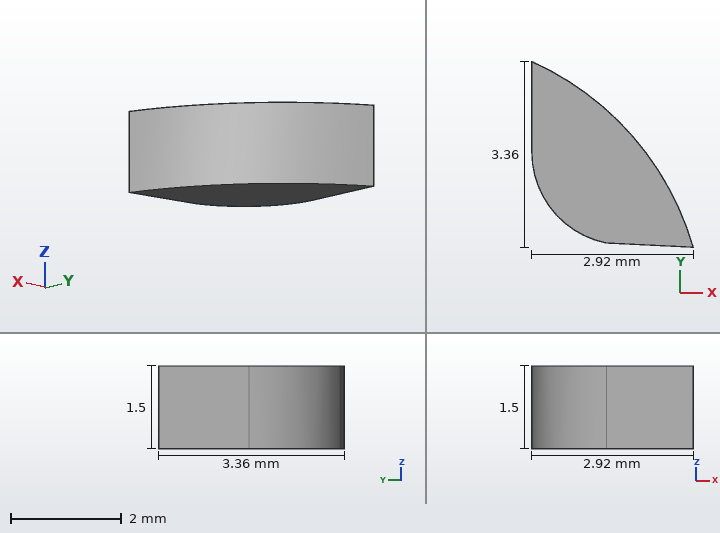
import cadquery as cq
import math

width = 2.92
length = 3.36
height = 1.5

corner_radius = 1.68
corner_start_y = 1.725
corner_end_x = 1.347

outer_radius = 5.292


def arc_middle(start, end, radius):
    """Middle point of the minor arc that bulges to the right of the path from start to end."""
    dx = end[0] - start[0]
    dy = end[1] - start[1]
    chord = math.hypot(dx, dy)
    rise = radius - math.sqrt(radius**2 - (chord / 2) ** 2)
    middle_x = (start[0] + end[0]) / 2 + rise * dy / chord
    middle_y = (start[1] + end[1]) / 2 - rise * dx / chord
    return (middle_x, middle_y)


upper_tip = (0, length)
lower_tip = (width, 0)
corner_start = (0, corner_start_y)
corner_drop = math.sqrt(corner_radius**2 - (corner_radius - corner_end_x) ** 2)
corner_end = (corner_end_x, corner_start_y - corner_drop)

result = (
    cq.Workplane("XY")
    .moveTo(*upper_tip)
    .lineTo(*corner_start)
    .threePointArc(arc_middle(corner_start, corner_end, corner_radius), corner_end)
    .lineTo(*lower_tip)
    .threePointArc(arc_middle(lower_tip, upper_tip, outer_radius), upper_tip)
    .close()
    .extrude(height)
)